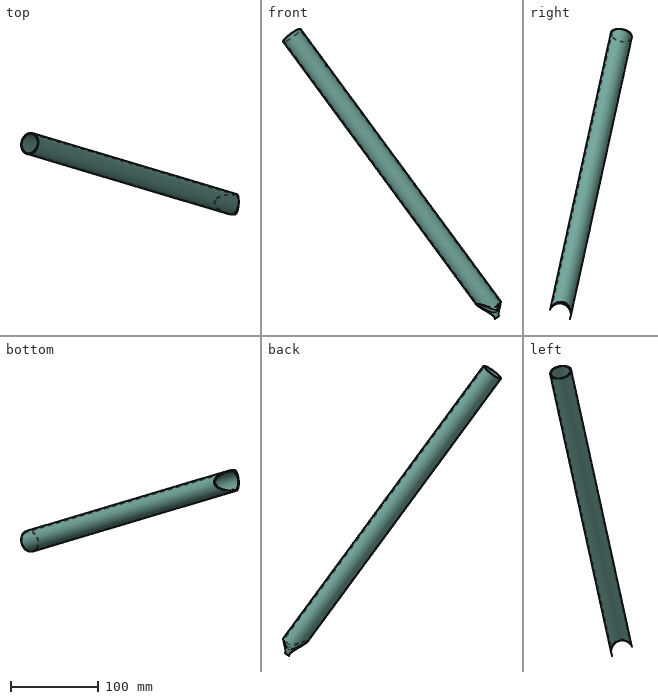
import cadquery as cq

outer_diameter = 25.0
wall = 1.3
header_diameter = 25.0
overrun = 0.5
leg_length = 3 * outer_diameter

level_leg = cq.Vector(-1, 0, 0)
rising_leg = cq.Vector(1, 0.1, 0.35)
upper_end = cq.Vector(-235.0, 70.2, 320.0)
header_corner = cq.Vector(0, -0.3, 0)


def rod(direction, length, diameter):
    """Round bar running from the header corner along a direction."""
    return cq.Workplane(cq.Plane(header_corner, normal=direction)).circle(diameter / 2).extrude(length)


def tube_blank():
    """Tube with both ends square, its lower end just past the origin."""
    length = upper_end.Length + overrun
    outside = cq.Workplane(cq.Plane(upper_end, normal=-upper_end)).circle(outer_diameter / 2)
    return outside.circle(outer_diameter / 2 - wall).extrude(length)


coped = tube_blank()
for leg in (level_leg, rising_leg):
    coped = coped.cut(rod(leg, leg_length, header_diameter))

result = coped.solids(">Z")